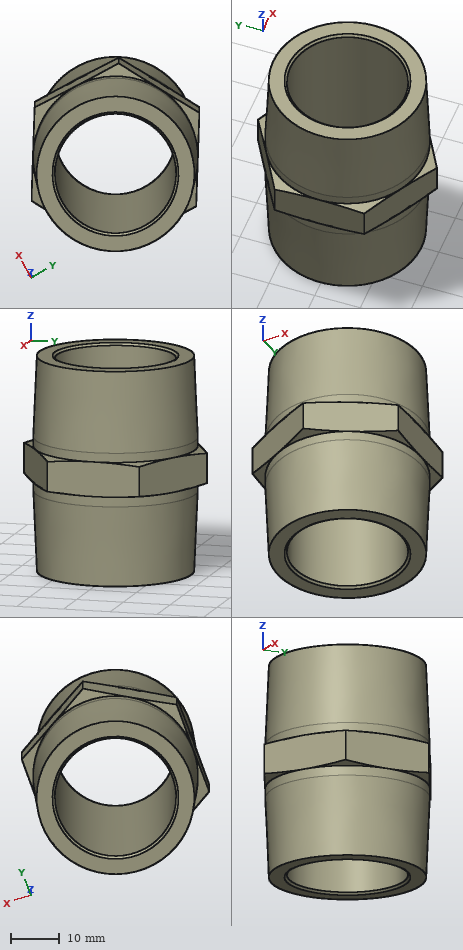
import cadquery as cq
import math

across_flats = 34.0
hex_height = 7.3
hex_turn = 30.0
corner_drop = 0.5

collar_diameter = 34.0
collar_height = 2.0
taper_length = 17.0
taper_angle = 2.5

bore_diameter = 25.0
bore_chamfer = 0.5

cone_overshoot = 1.0

collar_radius = collar_diameter / 2
tip_radius = collar_radius - taper_length * math.tan(math.radians(taper_angle))
bore_radius = bore_diameter / 2
flat_radius = across_flats / 2
corner_radius = across_flats / math.sqrt(3)

hex_top = hex_height / 2
collar_top = hex_top + collar_height
end_top = collar_top + taper_length


def revolve_mirrored(upper_profile):
    """Revolve an (r, z) outline, mirrored about z = 0, around the Z axis."""
    lower_profile = [(r, -z) for r, z in reversed(upper_profile)]
    return cq.Workplane("XZ").polyline(upper_profile + lower_profile).close().revolve(360, (0, 0), (0, 1))


def make_hexagon():
    """Hexagon with flats facing +X and -X and its corners bevelled by a cone."""
    prism = (
        cq.Workplane("XY")
        .polygon(6, 2 * corner_radius)
        .extrude(hex_top, both=True)
        .rotate((0, 0, 0), (0, 0, 1), hex_turn)
    )
    bevel_slope = corner_drop / (corner_radius - flat_radius)
    cone_radius = corner_radius + cone_overshoot
    cone_drop = (cone_radius - flat_radius) * bevel_slope
    bevel = revolve_mirrored([(0, hex_top), (flat_radius, hex_top), (cone_radius, hex_top - cone_drop)])
    return prism.intersect(bevel)


def make_tapered_ends():
    """Both tapered ends with the straight collars next to the hexagon."""
    return revolve_mirrored([(0, end_top), (tip_radius, end_top), (collar_radius, collar_top)])


def make_bore():
    """Through bore with a 45 degree chamfer at each mouth."""
    mouth_radius = bore_radius + bore_chamfer
    return revolve_mirrored(
        [(0, end_top), (mouth_radius, end_top), (bore_radius, end_top - bore_chamfer)]
    )


result = make_hexagon().union(make_tapered_ends()).cut(make_bore())